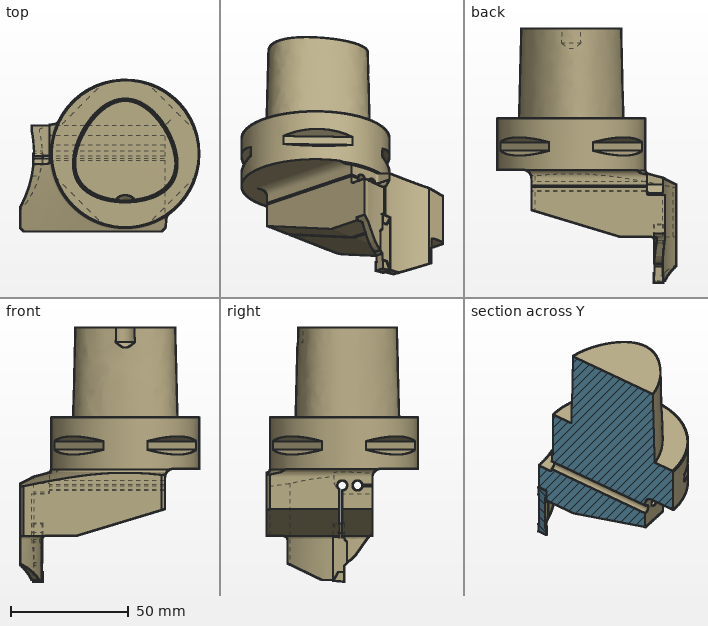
import cadquery as cq
import math


overall_length = 108.0
overall_width = 76.1
overall_depth = 64.5
clear = 64.8
margin = 0.1

shank_length = 38.0
shank_radius = 22.0
lobe_height = 1.4
shank_taper = 1.0
lobe_points = 36

notch_radius = 5.0
notch_axis_y = -22.5
notch_depth = 6.3

flange_radius = 63.0 / 2
flange_bottom = -22.0
flange_chamfer = 0.3
groove_z = -12.1
groove_floor_height = 3.6
groove_floor_distance = 27.9
groove_half_angle = 30.0
groove_angles = (45, 135, 225, 315)

head_left = flange_radius - overall_width
head_front = flange_radius - overall_depth
head_right = 17.0
head_back = 12.1
head_bottom = -50.4
head_chamfer = 1.5
slope_start_x = -20.5
slope_end_z = -39.1
flare_radius = 3.5
shoulder_height = 0.3
shoulder_radius = 32.5
shoulder_z = -23.5
shoulder_hollow = 1.4
shoulder_angle = 15.0

outer_arc_radius = 48.1
arc_crest_x = -38.8
arc_axis_y = 0.2
back_flat_x = -39.7
inner_crest_x = -35.2
blade_front = -24.1
blade_bottom = -69.2
blade_fillet = 1.5
blade_heel_z = -62.1
blade_toe_y = -9.4
tail_profile = [(9.9, -51.5), (4.9, -58.8), (3.2, -60.4)]
tail_top_z = -49.0
tail_end_z = -61.8

jaw_wall_x = -32.1
jaw_top = -32.6
jaw_fillet = 0.9
pocket_side_y = -4.2
pocket_slant_top = -28.2
pocket_slant_y = -1.7
pocket_corner_radius = 3.2
relief_radius = 2.0
relief_z = -29.0
jaw_relief_y = -0.8
hinge_relief_y = 5.7
jaw_slot_y = -1.4
jaw_slot_width = 1.1
hinge_slot_width = 0.6

insert_bottom = shank_length - overall_length
insert_length = 25.0
insert_middle = insert_bottom + insert_length / 2
insert_inner_x = -35.3
insert_outer_x = -38.8
cutting_overhang = 0.3
rake_y = 0.1
seat_y = -4.6
crown_y = 1.3
crown_half_length = 4.4
crown_slope = 1.2
end_relief = 0.4
cutting_end_flat = 2.6
cutting_end_height = 4.1


def box_between(x0, x1, y0, y1, z0, z1):
    return cq.Workplane("XY").box(x1 - x0, y1 - y0, z1 - z0, centered=False).translate((x0, y0, z0))


def side_prism(points, x0, x1):
    """Prism along X from a closed outline of (y, z) points."""
    return cq.Workplane("YZ").workplane(offset=x0).polyline(points).close().extrude(x1 - x0)


def outer_arc_reach(x):
    """Half the height of the outer arc where it has fallen back from its crest to x."""
    sagitta = arc_crest_x - x
    return math.sqrt(sagitta * (2 * outer_arc_radius - sagitta))


arc_start = (head_left, arc_axis_y - outer_arc_reach(head_left))
arc_middle = (arc_crest_x, arc_axis_y)
arc_end = (back_flat_x, arc_axis_y + outer_arc_reach(back_flat_x))

inner_sagitta = inner_crest_x - head_left
inner_arc_radius = (inner_sagitta**2 + (arc_axis_y - blade_front) ** 2) / (2 * inner_sagitta)
inner_back_x = (
    inner_crest_x - inner_arc_radius
    + math.sqrt(inner_arc_radius**2 - (head_back - arc_axis_y) ** 2)
)


def lobe_outline(radius):
    """Three-lobed trochoid with one lobe on +Y."""
    points = []
    for i in range(lobe_points):
        angle = 2 * math.pi * i / lobe_points
        x = radius * math.cos(angle) - lobe_height * math.sin(2 * angle)
        y = radius * math.sin(angle) - lobe_height * math.cos(2 * angle)
        points.append((x, y))
    return points


def make_shank():
    shank = (
        cq.Workplane("XY")
        .spline(lobe_outline(shank_radius), periodic=True)
        .close()
        .workplane(offset=shank_length)
        .spline(lobe_outline(shank_radius - shank_taper), periodic=True)
        .close()
        .loft(ruled=True)
    )
    shoulder = shank_length - notch_depth
    notch = (
        cq.Workplane("XZ")
        .polyline([(0, shank_length + margin), (notch_radius, shank_length + margin),
                   (notch_radius, shoulder), (0, shoulder - notch_radius)])
        .close()
        .revolve(360, (0, 0, 0), (0, 1, 0))
        .translate((0, notch_axis_y, 0))
    )
    return shank.cut(notch)


def make_flange():
    flange = cq.Workplane("XY").circle(flange_radius).extrude(flange_bottom)
    flange = flange.faces(">Z").chamfer(flange_chamfer)
    floor_half = groove_floor_height / 2
    past_rim = flange_radius + margin
    mouth_half = floor_half + (past_rim - groove_floor_distance) * math.tan(math.radians(groove_half_angle))
    groove = (
        cq.Workplane("XZ")
        .polyline([(groove_floor_distance, groove_z - floor_half), (past_rim, groove_z - mouth_half),
                   (past_rim, groove_z + mouth_half), (groove_floor_distance, groove_z + floor_half)])
        .close()
        .extrude(flange_radius, both=True)
    )
    for angle in groove_angles:
        flange = flange.cut(groove.rotate((0, 0, 0), (0, 0, 1), angle))
    return flange


def head_envelope():
    """Turned shape of the head: short neck, hollow shoulder and shallow cone."""
    neck_z = flange_bottom - shoulder_height
    rim_z = shoulder_z - (clear - shoulder_radius) * math.tan(math.radians(shoulder_angle))
    return (
        cq.Workplane("XZ")
        .moveTo(0, flange_bottom)
        .lineTo(flange_radius, flange_bottom)
        .lineTo(flange_radius, neck_z)
        .radiusArc((shoulder_radius, shoulder_z), -shoulder_hollow)
        .lineTo(clear, rim_z)
        .lineTo(clear, -clear)
        .lineTo(0, -clear)
        .close()
        .revolve(360, (0, 0, 0), (0, 1, 0))
    )


def make_head():
    block = box_between(-clear, head_right, -clear, head_back, head_bottom, flange_bottom)
    plate = box_between(-clear, clear, -clear, clear, flange_bottom, 0)
    inner_edges = cq.selectors.BoxSelector(
        (margin - clear, margin - clear, flange_bottom - margin),
        (clear - margin, clear - margin, flange_bottom + margin))
    head = block.union(plate).edges(inner_edges).fillet(flare_radius)

    outline = (
        cq.Workplane("XY")
        .workplane(offset=head_bottom)
        .moveTo(head_left + head_chamfer, head_front)
        .lineTo(head_right - head_chamfer, head_front)
        .lineTo(head_right, head_front + head_chamfer)
        .lineTo(head_right + flare_radius, head_front + head_chamfer + flare_radius)
        .lineTo(head_right + flare_radius, head_back + flare_radius)
        .lineTo(back_flat_x, head_back + flare_radius)
        .lineTo(*arc_end)
        .threePointArc(arc_middle, arc_start)
        .lineTo(head_left, head_front + head_chamfer)
        .close()
        .extrude(flange_bottom - head_bottom)
    )
    head = head.intersect(outline).intersect(head_envelope())

    underside = (
        cq.Workplane("XZ")
        .polyline([(slope_start_x, head_bottom), (head_right, slope_end_z),
                   (clear, slope_end_z), (clear, head_bottom)])
        .close()
        .extrude(clear, both=True)
    )
    return head.cut(underside)


def add_blade(head):
    blade = (
        cq.Workplane("XY")
        .workplane(offset=blade_bottom)
        .moveTo(head_left, blade_front)
        .lineTo(*arc_start)
        .threePointArc(arc_middle, arc_end)
        .lineTo(back_flat_x, head_back)
        .lineTo(inner_back_x, head_back)
        .threePointArc((inner_crest_x, arc_axis_y), (head_left, blade_front))
        .close()
        .extrude(head_bottom - blade_bottom)
    )
    root_edge = cq.selectors.BoxSelector(
        (head_left + margin, blade_front, head_bottom - margin),
        (inner_crest_x + margin, head_back - margin, head_bottom + margin))
    joined = head.union(blade).edges(root_edge).fillet(blade_fillet)

    heel_y = blade_front - margin
    heel = [(heel_y, blade_heel_z), (blade_toe_y, blade_bottom), (heel_y, blade_bottom)]
    tail = [(head_back, tail_top_z), *tail_profile, (crown_y, tail_end_z), (seat_y, tail_end_z),
            (seat_y, blade_bottom), (head_back, blade_bottom)]
    cutter_x = inner_crest_x + margin
    joined = joined.cut(side_prism(heel, -clear, cutter_x))
    return joined.cut(side_prism(tail, -clear, cutter_x))


def cut_jaw(holder):
    step_outline = [(pocket_side_y, flange_bottom), (pocket_side_y, pocket_slant_top),
                    (pocket_slant_y, jaw_top), (clear, jaw_top), (clear, flange_bottom)]
    step = side_prism(step_outline, -clear, jaw_wall_x)
    slant_foot = cq.selectors.NearestToPointSelector((-clear, pocket_slant_y, jaw_top))
    step = step.edges("|X").edges(slant_foot).fillet(pocket_corner_radius)
    step = step.faces(">X").edges("not(>Z or >Y)").fillet(jaw_fillet)
    holder = holder.cut(step)

    reliefs = (
        cq.Workplane("YZ")
        .workplane(offset=-clear)
        .pushPoints([(jaw_relief_y, relief_z), (hinge_relief_y, relief_z)])
        .circle(relief_radius)
        .extrude(2 * clear)
    )
    jaw_slot = box_between(-clear, clear, jaw_slot_y - jaw_slot_width / 2, jaw_slot_y + jaw_slot_width / 2,
                           head_bottom - blade_fillet, relief_z)
    hinge_slot = box_between(-clear, clear, hinge_relief_y, clear,
                             relief_z - hinge_slot_width / 2, relief_z + hinge_slot_width / 2)
    return holder.cut(reliefs).cut(jaw_slot).cut(hinge_slot)


def insert_outline():
    """Side outline (y, z) of the double-ended insert, the same at both ends."""
    half = insert_length / 2
    lower = [(seat_y, end_relief - half), (rake_y, -half),
             (rake_y, -crown_half_length - crown_slope), (crown_y, -crown_half_length)]
    upper = [(y, -z) for y, z in reversed(lower)]
    return [(y, insert_middle + z) for y, z in lower + upper]


def make_holder():
    holder = make_shank().union(make_flange()).union(make_head())
    holder = cut_jaw(add_blade(holder))
    pocket = side_prism(insert_outline(), -clear, insert_inner_x + cutting_overhang)
    return holder.cut(pocket).solids()


def make_insert():
    insert = side_prism(insert_outline(), insert_outer_x, insert_inner_x)
    half = insert_length / 2
    end_outer_x = insert_outer_x - cutting_overhang
    end_inner_x = insert_inner_x + cutting_overhang
    for end in (-1, 1):
        outline = [(rake_y, half), (rake_y, half - cutting_end_height),
                   (rake_y - cutting_end_flat, half - cutting_end_height), (seat_y, half - end_relief)]
        outline = [(y, insert_middle + end * z) for y, z in outline]
        insert = insert.union(side_prism(outline, end_outer_x, end_inner_x))
    return insert.solids()


holder = make_holder()
insert = make_insert()

result = cq.Compound.makeCompound([holder.val(), insert.val()])